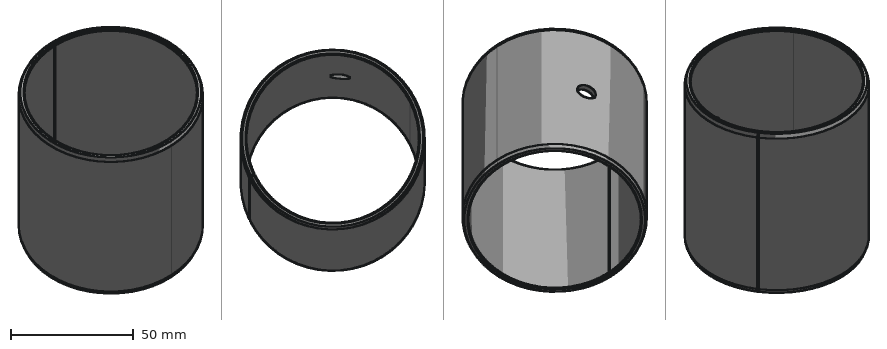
import cadquery as cq
import math

length = 80.0
outer_diameter = 75.0
wall = 2.5
inner_diameter = outer_diameter - 2 * wall

outer_chamfer_height = 1.9
outer_chamfer_depth = 0.7
inner_chamfer = 0.5

slit_width = 0.7
slit_center_y = slit_width / 2

hole_diameter = 8.0
hole_angle = 59.0


def make_sleeve():
    """Revolve the wall section, chamfered at both ends."""
    outer_radius = outer_diameter / 2
    inner_radius = inner_diameter / 2
    top = length / 2
    outer_shoulder = top - outer_chamfer_height
    inner_shoulder = top - inner_chamfer
    section = (
        cq.Workplane("XZ")
        .moveTo(inner_radius, -inner_shoulder)
        .lineTo(inner_radius + inner_chamfer, -top)
        .lineTo(outer_radius - outer_chamfer_depth, -top)
        .lineTo(outer_radius, -outer_shoulder)
        .lineTo(outer_radius, outer_shoulder)
        .lineTo(outer_radius - outer_chamfer_depth, top)
        .lineTo(inner_radius + inner_chamfer, top)
        .lineTo(inner_radius, inner_shoulder)
        .close()
    )
    return section.revolve(360, (0, 0, 0), (0, 1, 0))


def make_slit():
    """Full-length cutter that opens the wall on the -X side only."""
    return cq.Workplane("XY").box(outer_diameter, slit_width, length).translate(
        (-outer_diameter / 2, slit_center_y, 0)
    )


def make_oil_hole():
    """Cylinder running from the axis outwards through one wall."""
    angle = math.radians(hole_angle)
    direction = cq.Vector(math.cos(angle), math.sin(angle), 0)
    return cq.Solid.makeCylinder(hole_diameter / 2, outer_diameter, cq.Vector(0, 0, 0), direction)


result = make_sleeve().cut(make_slit()).cut(cq.Workplane(make_oil_hole()))